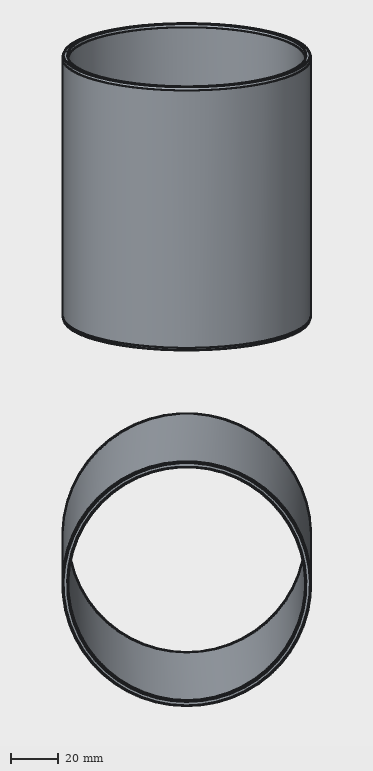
import cadquery as cq

height = 115.0
outer_diameter = 105.0
wall = 2.5
chamfer_height = 1.3
chamfer_depth = 0.5

outer_radius = outer_diameter / 2
inner_radius = outer_radius - wall
rim_outer_radius = outer_radius - chamfer_depth
rim_inner_radius = inner_radius + chamfer_depth
upper_chamfer_start = height - chamfer_height

wall_section = [
    (rim_inner_radius, 0),
    (rim_outer_radius, 0),
    (outer_radius, chamfer_height),
    (outer_radius, upper_chamfer_start),
    (rim_outer_radius, height),
    (rim_inner_radius, height),
    (inner_radius, upper_chamfer_start),
    (inner_radius, chamfer_height),
]

result = cq.Workplane("XZ").polyline(wall_section).close().revolve(360, (0, 0), (0, 1))